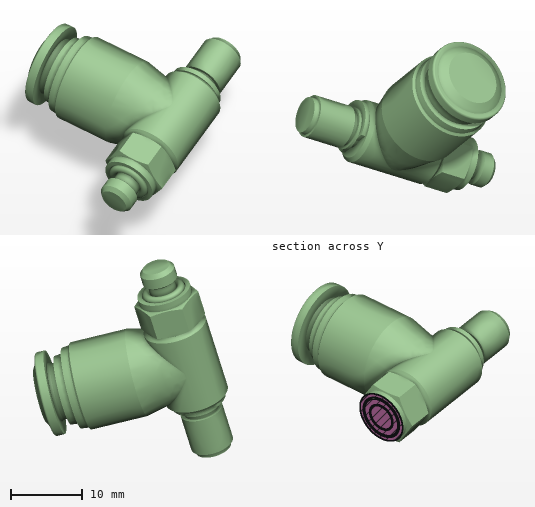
import cadquery as cq
import math


body_radius = 4.5
body_half_length = 6.27
body_chamfer = 0.55

hex_across_flats = 8.0
hex_length = 4.23
hex_inner_chamfer_radius = body_radius - body_chamfer
hex_chamfer_length = 0.3
hex_corner_radius = hex_across_flats / math.sqrt(3)
hex_end_y = -body_half_length - hex_length

seal_collar_radius = 3.8
seal_collar_length = 1.05
neck_radius = 1.92
seal_outer_radius = 3.03
seal_section_radius = 0.55
seal_center_radius = seal_outer_radius - seal_section_radius
seal_groove_radius = 3.15
seal_groove_depth = 0.5
seal_y = hex_end_y - seal_collar_length
seal_groove_floor_y = seal_y + seal_groove_depth
spigot_radius = 2.5
spigot_tip_radius = 1.95
spigot_tip_chamfer = 0.57
spigot_shoulder_y = -13.05
spigot_shoulder_chamfer = 0.4
spigot_end_y = -15.55

cam_radius = 3.85
cam_offset_z = 0.4
cam_flat_z = -2.3
cam_end_y = 6.93
knob_radius = 3.03
knob_flange_start_y = 7.02
knob_flange_end_y = 7.4
knob_groove_radius = 2.55
knob_start_y = 8.13
knob_shoulder_y = 13.7
knob_tip_base_radius = 2.65
knob_tip_radius = 2.55
knob_end_y = 14.45

overall_width = 25.62
button_face_x = hex_corner_radius - overall_width
button_face_radius = 3.87
button_cone_length = 0.75
button_cone_x = button_face_x + button_cone_length
button_cone_radius = 5.15
button_radius = 6.0
button_edge_fillet = 0.27
button_back_x = -18.9
sleeve_flare_x = -18.48
sleeve_flare_radius = 4.2
sleeve_radius = 4.02
collet_front_x = -17.75
collet_front_radius = 4.92
collet_back_radius = 5.05
guide_front_x = -16.47
guide_front_radius = 5.8
guide_back_x = -15.4
guide_back_radius = 5.9
barrel_front_x = -15.12
barrel_diameter = 12.5
barrel_radius = barrel_diameter / 2
barrel_end_x = -7.05

transition_mid_x = -3.0
transition_mid_half_width = 5.4
transition_mid_half_height = 5.13
transition_end_half_width = 4.8


def turned_on_y(profile):
    """Revolve (radius, y) points, closed along the Y axis."""
    points = [(0, profile[0][1])] + profile + [(0, profile[-1][1])]
    return cq.Workplane("XY").polyline(points).close().revolve(360, (0, 0, 0), (0, 1, 0))


def make_body():
    body = (
        cq.Workplane("XZ", origin=(0, body_half_length, 0))
        .circle(body_radius)
        .extrude(2 * body_half_length)
    )
    return body.faces("<Y or >Y").chamfer(body_chamfer)


def make_hex_nut():
    prism = (
        cq.Workplane("XZ", origin=(0, -body_half_length, 0))
        .polygon(6, 2 * hex_corner_radius)
        .extrude(hex_length)
    )
    corner_chamfers = turned_on_y([
        (seal_collar_radius, hex_end_y),
        (hex_corner_radius, hex_end_y + hex_chamfer_length),
        (hex_corner_radius, -body_half_length - hex_chamfer_length),
        (hex_inner_chamfer_radius, -body_half_length),
    ])
    return prism.intersect(corner_chamfers)


def make_spigot():
    return turned_on_y([
        (spigot_tip_radius, spigot_end_y),
        (spigot_radius, spigot_end_y + spigot_tip_chamfer),
        (spigot_radius, spigot_shoulder_y - spigot_shoulder_chamfer),
        (neck_radius, spigot_shoulder_y),
        (neck_radius, seal_groove_floor_y),
        (seal_groove_radius, seal_groove_floor_y),
        (seal_groove_radius, seal_y),
        (seal_collar_radius, seal_y),
        (seal_collar_radius, hex_end_y),
    ])


def make_seal_ring():
    section = cq.Workplane("XY").center(seal_center_radius, seal_y).circle(seal_section_radius)
    return section.revolve(360, (-seal_center_radius, 0, 0), (-seal_center_radius, 1, 0))


def make_cam_collar():
    """Collar set off center towards +Z, with a flat on its -Z side."""
    thickness = cam_end_y - body_half_length
    height_above_flat = cam_offset_z + cam_radius - cam_flat_z
    disc = cq.Workplane("XZ", origin=(0, cam_end_y, cam_offset_z)).circle(cam_radius).extrude(thickness)
    kept_block = cq.Workplane("XY", origin=(0, cam_end_y, cam_flat_z)).box(
        2 * cam_radius, 2 * thickness, height_above_flat, centered=(True, True, False)
    )
    return disc.intersect(kept_block)


def make_knob():
    return turned_on_y([
        (knob_groove_radius, body_half_length),
        (knob_groove_radius, knob_flange_start_y),
        (knob_radius, knob_flange_start_y),
        (knob_radius, knob_flange_end_y),
        (knob_groove_radius, knob_flange_end_y),
        (knob_groove_radius, knob_start_y),
        (knob_radius, knob_start_y),
        (knob_radius, knob_shoulder_y),
        (knob_tip_base_radius, knob_shoulder_y),
        (knob_tip_radius, knob_end_y),
    ])


def make_tube_socket():
    fillet_mid = button_edge_fillet * (1 - math.sqrt(0.5))
    profile = (
        cq.Workplane("XY")
        .moveTo(button_face_x, 0)
        .lineTo(button_face_x, button_face_radius)
        .lineTo(button_cone_x, button_cone_radius)
        .lineTo(button_cone_x, button_radius - button_edge_fillet)
        .threePointArc(
            (button_cone_x + fillet_mid, button_radius - fillet_mid),
            (button_cone_x + button_edge_fillet, button_radius),
        )
        .lineTo(button_back_x, button_radius)
        .lineTo(button_back_x, sleeve_flare_radius)
        .lineTo(sleeve_flare_x, sleeve_radius)
        .lineTo(collet_front_x, sleeve_radius)
        .lineTo(collet_front_x, collet_front_radius)
        .lineTo(guide_front_x, collet_back_radius)
        .lineTo(guide_front_x, guide_front_radius)
        .lineTo(guide_back_x, guide_back_radius)
        .lineTo(barrel_front_x, barrel_radius)
        .lineTo(barrel_end_x, barrel_radius)
        .lineTo(barrel_end_x, 0)
        .close()
    )
    return profile.revolve(360, (0, 0, 0), (1, 0, 0))


def make_transition():
    return (
        cq.Workplane("YZ", origin=(barrel_end_x, 0, 0))
        .ellipse(barrel_radius, barrel_radius)
        .workplane(offset=transition_mid_x - barrel_end_x)
        .ellipse(transition_mid_half_width, transition_mid_half_height)
        .workplane(offset=-transition_mid_x)
        .ellipse(transition_end_half_width, body_radius)
        .loft()
    )


result = (
    make_body()
    .union(make_transition())
    .union(make_tube_socket())
    .union(make_hex_nut())
    .union(make_spigot())
    .union(make_seal_ring())
    .union(make_cam_collar())
    .union(make_knob())
)